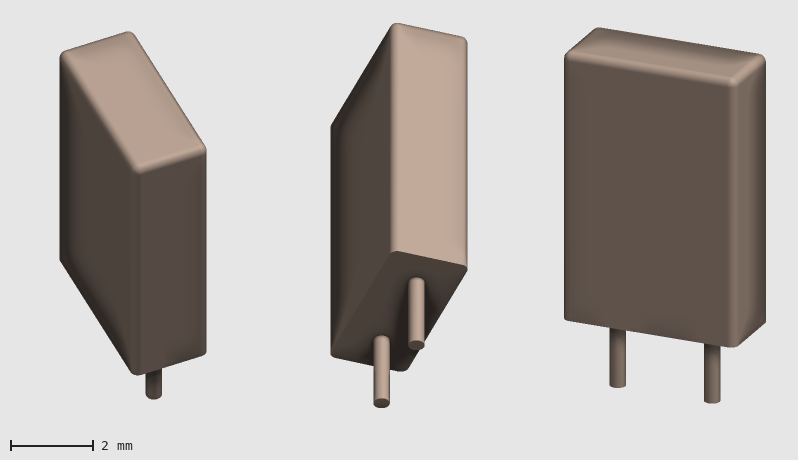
import cadquery as cq

body_length = 4.6
body_width = 2.0
body_height = 7.0
edge_radius = 0.2

pin_diameter = 0.4
pin_pitch = 2.5
pin_length = 1.9


def make_body():
    """Block standing on Z = 0, rounded on its upright and top edges, sharp at the bottom."""
    block = cq.Workplane("XY").box(body_length, body_width, body_height, centered=(True, True, False))
    return block.edges("|Z or >Z").fillet(edge_radius)


def make_pin(x):
    """Straight round lead hanging from the underside of the body."""
    return cq.Workplane("XY").center(x, 0).circle(pin_diameter / 2).extrude(-pin_length)


result = make_body()
for side in (-1, 1):
    result = result.union(make_pin(side * pin_pitch / 2))